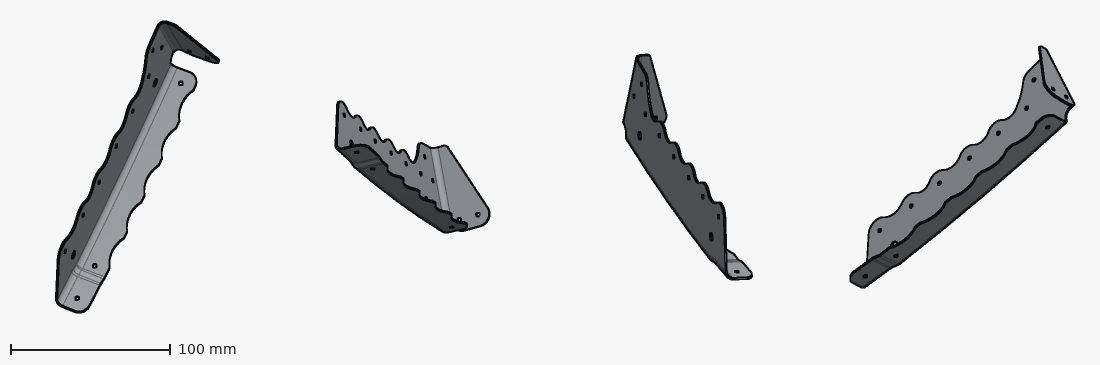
import cadquery as cq
import math


THICKNESS = 1.2
BEND_OUTER = 5.0
BEND_INNER = BEND_OUTER - THICKNESS

LOBE_RADIUS = 9.0
LOBE_CENTERS = [
    (-36.9, 101.8),
    (-42.9, 83.6),
    (-65.9, 74.0),
    (-89.3, 64.7),
    (-113.9, 55.6),
    (-136.8, 47.6),
    (-162.5, 39.4),
]
FIRST_HOLLOW_HEIGHT = 8.0
HOLLOW_HEIGHT = 3.9
NOSE_TILT = 4.1
RELIEF_BULGE = (-10.8, 68.2)

SMALL_HOLE = 2.5
EXTRA_SMALL_HOLE = (-24.5, 92.0)
LARGE_HOLE = 5.0
LARGE_HOLES = [(-33.7, 68.4), (-150.8, 24.5)]

END_TILT = 25.5
END_SETBACK = 18.35
END_ANGLE = 90.0
END_WIDTH = 30.49
END_LENGTH = 57.0
END_HOLE_EDGE = 7.5
END_HOLE_PITCH = 12.8
END_TOP_WIDTH = 10.6
END_TOP_RADIUS = 3.0
RELIEF_WIDTH = 11.0
RELIEF_HEIGHT = 8.2
RELIEF_MIDDLE = (4.6, 5.0)

FOLD_START = (-11.4, 64.4)
MAIN_RADIUS = 1356.0
START_HEADING = 24.1
MAIN_END_HEADING = 17.965
TAIL_HEADING = 15.7
STEP_INNER_RADIUS = 0.5
STEP_HEADING = 0.0
STEP_LENGTH = 4.2
STEP_OUTER_RADIUS = 10.0
TAIL_LENGTH = 24.0
LOWER_ANGLE = 87.0
LOWER_WIDTH = 20.3
LOWER_CORNER = 7.0
LOWER_HOLE = 2.5
LOWER_HOLE_X = 11.1
LOWER_HOLES_Y = [-19.5, -142.5]
TAIL_HOLE_DISTANCE = 13.8
SCALLOP_COUNT = 5
SCALLOP_START_Y = -30.6
SCALLOP_PITCH = 24.8
SCALLOP_DEPTH = 3.2
SCALLOP_RADIUS = 20.0

TOOL = 60.0
LOWER_TOOL = 12.0


def along(point, direction, distance):
    return (point[0] + direction[0] * distance, point[1] + direction[1] * distance)


def heading_vector(heading):
    angle = math.radians(heading)
    return (-math.cos(angle), -math.sin(angle))


def outward_vector(heading):
    """In-plane normal of the lower fold, pointing away from the plate."""
    angle = math.radians(heading)
    return (math.sin(angle), -math.cos(angle))


end_angle = math.radians(END_TILT)
fold_up = (-math.sin(end_angle), math.cos(end_angle))
fold_down = (-fold_up[0], -fold_up[1])
end_outward = (math.cos(end_angle), math.sin(end_angle))

top_tangent = along(LOBE_CENTERS[0], fold_up, LOBE_RADIUS)
end_corner = along(top_tangent, end_outward, END_SETBACK)
end_fold_top = along(end_corner, end_outward, -BEND_OUTER)
end_fold_length = END_LENGTH - RELIEF_HEIGHT
end_fold_bottom = along(end_fold_top, fold_down, end_fold_length)

nose_angle = math.radians(NOSE_TILT)
nose_normal = (-math.cos(nose_angle), math.sin(nose_angle))
nose_tangent = along(LOBE_CENTERS[-1], nose_normal, LOBE_RADIUS)


def turn(point, heading, new_heading, radius):
    """Middle and end of an arc that starts at a point and swings to a new heading."""
    side = radius if heading > new_heading else -radius
    center = along(point, outward_vector(heading), -side)
    middle = along(center, outward_vector((heading + new_heading) / 2), side)
    return middle, along(center, outward_vector(new_heading), side)


main_middle, main_end = turn(FOLD_START, START_HEADING, MAIN_END_HEADING, MAIN_RADIUS)
inner_middle, inner_end = turn(main_end, MAIN_END_HEADING, STEP_HEADING, STEP_INNER_RADIUS)
step_end = along(inner_end, heading_vector(STEP_HEADING), STEP_LENGTH)
outer_middle, tail_start = turn(step_end, STEP_HEADING, TAIL_HEADING, STEP_OUTER_RADIUS)
tail_end = along(tail_start, heading_vector(TAIL_HEADING), TAIL_LENGTH)


def draw_fold():
    """The lower fold line: long arc, level step between two small arcs, tail."""
    return (
        cq.Workplane("YZ")
        .moveTo(*FOLD_START)
        .threePointArc(main_middle, main_end)
        .threePointArc(inner_middle, inner_end)
        .lineTo(*step_end)
        .threePointArc(outer_middle, tail_start)
        .lineTo(*tail_end)
    )


def hollow(first, second, height):
    """Start, middle and end of the arc tangent to the lobes about two centres."""
    half = math.dist(first, second) / 2
    radius = (half**2 + height**2 - LOBE_RADIUS**2) / (2 * (LOBE_RADIUS - height))
    forward = ((second[0] - first[0]) / (2 * half), (second[1] - first[1]) / (2 * half))
    normal = (forward[1], -forward[0])
    base = along(first, forward, half)
    center = along(base, normal, height + radius)
    share = LOBE_RADIUS / (LOBE_RADIUS + radius)
    start = tuple(lobe + (far - lobe) * share for lobe, far in zip(first, center))
    end = tuple(lobe + (far - lobe) * share for lobe, far in zip(second, center))
    return start, along(base, normal, height), end


def lobe_middle(center, start, end):
    """Middle of the lobe arc between two of its points."""
    chord_middle = ((start[0] + end[0]) / 2, (start[1] + end[1]) / 2)
    reach = math.dist(center, chord_middle)
    direction = ((chord_middle[0] - center[0]) / reach, (chord_middle[1] - center[1]) / reach)
    return along(center, direction, LOBE_RADIUS)


def make_plate():
    outline = draw_fold().lineTo(*nose_tangent)
    lobe_start = nose_tangent
    for index in range(len(LOBE_CENTERS) - 1, 0, -1):
        height = FIRST_HOLLOW_HEIGHT if index == 1 else HOLLOW_HEIGHT
        center = LOBE_CENTERS[index]
        far, middle, near = hollow(LOBE_CENTERS[index - 1], center, height)
        outline = outline.threePointArc(lobe_middle(center, lobe_start, near), near)
        outline = outline.threePointArc(middle, far)
        lobe_start = far
    return (
        outline.threePointArc(lobe_middle(LOBE_CENTERS[0], lobe_start, top_tangent), top_tangent)
        .lineTo(*end_fold_top)
        .lineTo(*end_fold_bottom)
        .threePointArc(RELIEF_BULGE, FOLD_START)
        .close()
        .extrude(THICKNESS)
    )


def bend_section(plane, angle, width):
    """Bend and flange cross-section; local x points out of the plate edge, local y is X."""
    bend = math.radians(angle)

    def on_bend(radius, turned):
        """Point at a radius of the bend, after it has turned by an angle."""
        return (radius * math.sin(turned), BEND_OUTER - radius * math.cos(turned))

    def at_width(point):
        """Flange end reached by following the flange from a point of the bend."""
        return (point[0] + (width - point[1]) / math.tan(bend), width)

    outer_end = on_bend(BEND_OUTER, bend)
    inner_end = on_bend(BEND_INNER, bend)
    return (
        cq.Workplane(plane)
        .moveTo(0, 0)
        .threePointArc(on_bend(BEND_OUTER, bend / 2), outer_end)
        .lineTo(*at_width(outer_end))
        .lineTo(*at_width(inner_end))
        .lineTo(*inner_end)
        .threePointArc(on_bend(BEND_INNER, bend / 2), (0, THICKNESS))
        .close()
    )


def make_end_flange():
    section_plane = cq.Plane((0, *end_fold_top), xDir=(0, *end_outward), normal=(0, *fold_down))
    blank = bend_section(section_plane, END_ANGLE, END_WIDTH).extrude(END_LENGTH)

    face = cq.Plane((0, *end_corner), xDir=(1, 0, 0), normal=(0, *end_outward))
    hole = (END_WIDTH - END_HOLE_EDGE, END_LENGTH - END_HOLE_EDGE)
    to_hole = math.dist((END_TOP_WIDTH, 0), hole)
    line_angle = math.atan2(hole[1], hole[0] - END_TOP_WIDTH) - math.asin(END_HOLE_EDGE / to_hole)
    tangent = along(hole, (math.sin(line_angle), -math.cos(line_angle)), END_HOLE_EDGE)
    middle_angle = line_angle / 2
    corner_middle = along(hole, (math.cos(middle_angle), math.sin(middle_angle)), END_HOLE_EDGE)
    outline = (
        cq.Workplane(face)
        .moveTo(0, 0)
        .lineTo(END_TOP_WIDTH, 0)
        .lineTo(*tangent)
        .threePointArc(corner_middle, (hole[0], END_LENGTH))
        .lineTo(RELIEF_WIDTH, END_LENGTH)
        .threePointArc(
            (RELIEF_MIDDLE[0], end_fold_length + RELIEF_MIDDLE[1]),
            (0, end_fold_length),
        )
        .close()
        .extrude(TOOL, both=True)
    )
    top_corner = face.toWorldCoords((END_TOP_WIDTH, 0))
    outline = outline.edges(cq.NearestToPointSelector(top_corner.toTuple())).fillet(END_TOP_RADIUS)
    holes = (
        cq.Workplane(face)
        .pushPoints([hole, (hole[0] - END_HOLE_PITCH, hole[1])])
        .circle(SMALL_HOLE / 2)
        .extrude(TOOL, both=True)
    )
    return blank.intersect(outline).cut(holes)


def main_fold_at(y):
    """Point and heading of the long fold arc at a given Y."""
    start_sine = math.sin(math.radians(START_HEADING))
    heading = math.degrees(math.asin(start_sine + (y - FOLD_START[0]) / MAIN_RADIUS))
    return turn(FOLD_START, START_HEADING, heading, MAIN_RADIUS)[1], heading


def lower_cylinder(fold_point, heading, x, radius):
    """Cylinder square to the lower fold, centred at a given X."""
    plane = cq.Plane(
        (x, *fold_point), xDir=(0, *heading_vector(heading)), normal=(0, *outward_vector(heading))
    )
    return cq.Workplane(plane).circle(radius).extrude(LOWER_TOOL, both=True)


def beyond_nose():
    """Block past the front edge, which trims the plate and the lower flange together."""
    plane = cq.Plane((0, *nose_tangent), xDir=(1, 0, 0), normal=(0, *nose_normal))
    return cq.Workplane(plane).rect(TOOL * 2, TOOL * 2).extrude(TOOL)


def nose_corner():
    """Sliver outside the rounded corner where the lower flange meets the front edge."""
    nose_down = (-nose_normal[1], nose_normal[0])
    plane = cq.Plane((LOWER_WIDTH, *nose_tangent), xDir=(1, 0, 0), normal=(0, *nose_down))
    inset = LOWER_CORNER * (1 - math.sqrt(0.5))
    return (
        cq.Workplane(plane)
        .moveTo(0, 0)
        .lineTo(-LOWER_CORNER, 0)
        .threePointArc((-inset, -inset), (0, -LOWER_CORNER))
        .close()
        .extrude(TOOL)
    )


def make_lower_flange():
    plane = cq.Plane(
        (0, *FOLD_START),
        xDir=(0, *outward_vector(START_HEADING)),
        normal=(0, *heading_vector(START_HEADING)),
    )
    flange = bend_section(plane, LOWER_ANGLE, LOWER_WIDTH).sweep(draw_fold())
    flange = flange.faces(">Y").edges(">X").fillet(LOWER_CORNER)
    flange = flange.cut(beyond_nose()).cut(nose_corner())

    for index in range(SCALLOP_COUNT):
        point, heading = main_fold_at(SCALLOP_START_Y - index * SCALLOP_PITCH)
        x = LOWER_WIDTH - SCALLOP_DEPTH + SCALLOP_RADIUS
        flange = flange.cut(lower_cylinder(point, heading, x, SCALLOP_RADIUS))

    tail_hole = along(tail_start, heading_vector(TAIL_HEADING), TAIL_HOLE_DISTANCE)
    hole_places = [main_fold_at(y) for y in LOWER_HOLES_Y] + [(tail_hole, TAIL_HEADING)]
    for point, heading in hole_places:
        flange = flange.cut(lower_cylinder(point, heading, LOWER_HOLE_X, LOWER_HOLE / 2))
    return flange


def plate_holes(centers, diameter):
    return cq.Workplane("YZ").pushPoints(centers).circle(diameter / 2).extrude(THICKNESS)


plate = (
    make_plate()
    .cut(beyond_nose())
    .cut(plate_holes(LOBE_CENTERS + [EXTRA_SMALL_HOLE], SMALL_HOLE))
    .cut(plate_holes(LARGE_HOLES, LARGE_HOLE))
)
result = plate.union(make_end_flange()).union(make_lower_flange())